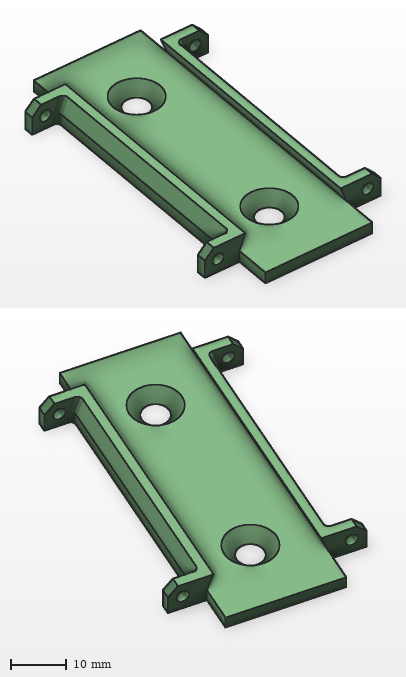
import cadquery as cq

plate_length = 70.0
plate_width = 24.3
plate_thickness = 2.5

total_width = 40.0
total_height = 6.0
rail_length = 54.3
wall_thickness = 1.95
wall_lean = 1.3
tab_thickness = 2.2
tab_chamfer = 2.0
corner_radius = 1.05

tab_hole_diameter = 2.5
tab_hole_inset = 3.0
tab_hole_height = 3.0

screw_spacing = 40.05
screw_diameter = 5.5
countersink_diameter = 10.6
countersink_angle = 90

plate_edge = plate_width / 2
tab_edge = total_width / 2
wall_outer = plate_edge + wall_thickness
pocket_length = rail_length - 2 * tab_thickness


def extrude_along_x(points, length):
    """Extrude a (Y, Z) outline along X, centred on the YZ plane."""
    return cq.Workplane("YZ").polyline(points).close().extrude(length / 2, both=True)


def make_plate():
    plate = cq.Workplane("XY").box(
        plate_length, plate_width, plate_thickness, centered=(True, True, False)
    )
    return (
        plate.faces(">Z")
        .workplane()
        .pushPoints([(-screw_spacing / 2, 0), (screw_spacing / 2, 0)])
        .cskHole(screw_diameter, countersink_diameter, countersink_angle)
    )


def make_pocket():
    """Space between the tabs, with rounded corners where they meet the wall."""
    pocket = extrude_along_x(
        [
            (wall_outer, 0),
            (wall_outer, plate_thickness),
            (wall_outer - wall_lean, total_height),
            (tab_edge, total_height),
            (tab_edge, 0),
        ],
        pocket_length,
    )
    wall_corners = [
        edge
        for edge in pocket.faces("<X or >X").edges().vals()
        if edge.Center().y <= wall_outer
    ]
    return pocket.newObject(wall_corners).fillet(corner_radius)


def make_rail():
    """Rail on the +Y side: an inward-leaning wall and its two tabs."""
    rail = extrude_along_x(
        [
            (plate_edge, 0),
            (plate_edge, plate_thickness),
            (plate_edge - wall_lean, total_height),
            (tab_edge - tab_chamfer, total_height),
            (tab_edge, total_height - tab_chamfer),
            (tab_edge, 0),
        ],
        rail_length,
    )
    tab_holes = (
        cq.Workplane("YZ")
        .center(tab_edge - tab_hole_inset, tab_hole_height)
        .circle(tab_hole_diameter / 2)
        .extrude(rail_length / 2, both=True)
    )
    return rail.cut(make_pocket()).cut(tab_holes)


rail = make_rail()
result = make_plate().union(rail).union(rail.mirror("XZ"))